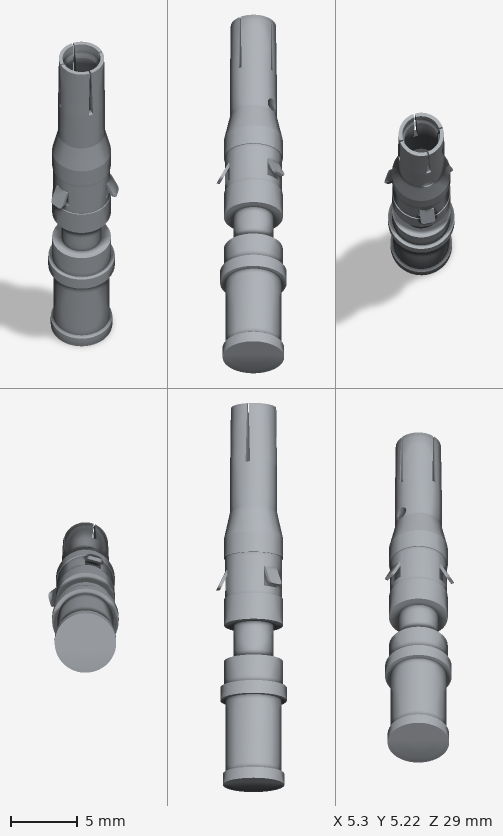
import cadquery as cq
import math

total_length = 29.0

rim_diameter = 4.6
rim_height = 0.85
rim_chamfer_height = 0.15
barrel_diameter = 4.2
flange_diameter = 5.0
flange_bottom = 6.5
flange_top = 7.48
shoulder_diameter = 4.4
shoulder_top = 9.5

neck_diameter = 3.0
neck_top = 12.27
sleeve_diameter = 4.25
sleeve_bottom = 14.27
sleeve_top = 17.43
body_top = 19.0
cone_top = 21.02

socket_diameter = 3.5
finger_base = 24.5
socket_tip_diameter = 3.4
slot_base_width = 0.35
slot_tip_width = 0.12

bore_diameter = 2.55
bore_floor = cone_top
drill_point_angle = 118.0
entry_diameter = 2.85
entry_depth = 0.9
entry_cone_height = 0.4

vent_diameter = 1.0
vent_height = cone_top + vent_diameter / 2

tab_count = 3
first_tab_angle = 172.5
window_width = 1.22
window_bottom = 14.88
window_top = 16.33
sleeve_thickness = 0.25
tab_width = 1.1
tab_bottom = 14.95
tab_reach = 2.78
tab_corner_radius = 0.25


def make_body():
    """Solid of revolution without any bore, slot or tab."""
    profile = [
        (0, 0),
        (rim_diameter / 2, 0),
        (rim_diameter / 2, rim_height),
        (barrel_diameter / 2, rim_height + rim_chamfer_height),
        (barrel_diameter / 2, flange_bottom),
        (flange_diameter / 2, flange_bottom),
        (flange_diameter / 2, flange_top),
        (shoulder_diameter / 2, flange_top),
        (shoulder_diameter / 2, shoulder_top),
        (neck_diameter / 2, shoulder_top),
        (neck_diameter / 2, neck_top),
        (shoulder_diameter / 2, neck_top),
        (shoulder_diameter / 2, sleeve_bottom),
        (sleeve_diameter / 2, sleeve_bottom),
        (sleeve_diameter / 2, sleeve_top),
        (shoulder_diameter / 2, sleeve_top),
        (shoulder_diameter / 2, body_top),
        (socket_diameter / 2, cone_top),
        (socket_diameter / 2, finger_base),
        (socket_tip_diameter / 2, total_length),
        (0, total_length),
    ]
    return cq.Workplane("XZ").polyline(profile).close().revolve(360, (0, 0, 0), (0, 1, 0))


def make_bore():
    """Drilled socket bore with a conical floor and a wider entry."""
    point_depth = bore_diameter / 2 / math.tan(math.radians(drill_point_angle / 2))
    entry_floor = total_length - entry_depth
    profile = [
        (0, bore_floor - point_depth),
        (bore_diameter / 2, bore_floor),
        (bore_diameter / 2, entry_floor - entry_cone_height),
        (entry_diameter / 2, entry_floor),
        (entry_diameter / 2, total_length),
        (0, total_length),
    ]
    return cq.Workplane("XZ").polyline(profile).close().revolve(360, (0, 0, 0), (0, 1, 0))


def make_slot(plane):
    """Slot across the socket, narrowing toward the tip."""
    profile = [
        (-slot_base_width / 2, finger_base),
        (slot_base_width / 2, finger_base),
        (slot_tip_width / 2, total_length),
        (-slot_tip_width / 2, total_length),
    ]
    return cq.Workplane(plane).polyline(profile).close().extrude(socket_diameter, both=True)


def make_vent():
    """Radial hole from the bore out through the -X wall."""
    return (
        cq.Workplane("YZ")
        .center(0, vent_height)
        .circle(vent_diameter / 2)
        .extrude(-socket_diameter)
    )


def make_window():
    """Pocket in the sleeve on the +X side, as deep as the sleeve is thick."""
    window_height = window_top - window_bottom
    block = cq.Workplane("XY").box(
        sleeve_diameter, window_width, window_height, centered=(False, True, False)
    )
    core = cq.Workplane("XY").circle(sleeve_diameter / 2 - sleeve_thickness).extrude(window_height)
    return block.cut(core).translate((0, 0, window_bottom))


def make_tab():
    """Tab on the +X side that leans outward toward its rounded lower end."""
    root = sleeve_diameter / 2
    profile = [
        (root - sleeve_thickness, window_top),
        (root, window_top),
        (tab_reach, tab_bottom),
        (tab_reach - sleeve_thickness, tab_bottom),
    ]
    tab = cq.Workplane("XZ").polyline(profile).close().extrude(tab_width / 2, both=True)
    outline = (
        cq.Workplane("YZ")
        .center(0, (window_top + tab_bottom) / 2)
        .rect(tab_width, window_top - tab_bottom)
        .extrude(2 * tab_reach)
        .edges("|X and <Z")
        .fillet(tab_corner_radius)
    )
    return tab.intersect(outline)


def around_axis(shape, angle):
    return shape.rotate((0, 0, 0), (0, 0, 1), angle)


result = make_body().cut(make_bore()).cut(make_vent())
for slot_plane in ("XZ", "YZ"):
    result = result.cut(make_slot(slot_plane))
for index in range(tab_count):
    tab_angle = first_tab_angle + index * 360 / tab_count
    result = result.cut(around_axis(make_window(), tab_angle))
    result = result.union(around_axis(make_tab(), tab_angle))